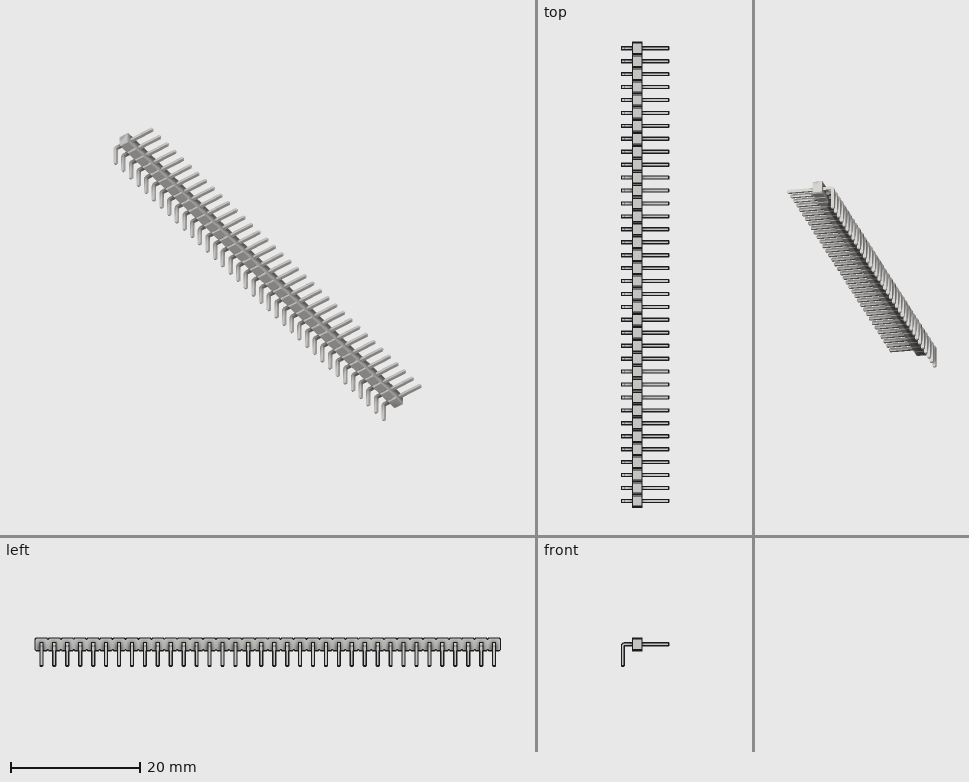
import cadquery as cq

strip_length = 72.0
pin_count = 36
pitch = strip_length / pin_count

strip_width = 1.5
strip_height = pitch
notch_depth = 0.2

pin_size = 0.5
pin_overall_x = 7.4
overall_height = 4.4
bend_reach = 1.7
bend_outer_radius = pin_size
tip_length = pin_size / 4
tip_inset = pin_size / 4

pin_left = -strip_width / 2 - bend_reach
pin_right = pin_left + pin_overall_x
pin_top = pin_size / 2
pin_bottom = strip_height / 2 - overall_height
first_pin_y = (pitch - strip_length) / 2


def make_strip():
    """Bar with V-notches across its top and bottom between pins, and half notches at its ends."""
    half_length = strip_length / 2
    top = strip_height / 2
    floor = top - notch_depth
    upper_edge = [(-half_length, floor), (-half_length + notch_depth, top)]
    for i in range(1, pin_count):
        y = i * pitch - half_length
        upper_edge += [(y - notch_depth, top), (y, floor), (y + notch_depth, top)]
    upper_edge += [(half_length - notch_depth, top), (half_length, floor)]
    lower_edge = [(y, -z) for y, z in reversed(upper_edge)]
    outline = cq.Workplane("YZ").polyline(upper_edge + lower_edge).close()
    return outline.extrude(strip_width / 2, both=True)


def make_tip(workplane):
    """Tapered pin end, from the full pin section down to a smaller square."""
    tip_size = pin_size - 2 * tip_inset
    return (
        workplane.rect(pin_size, pin_size)
        .workplane(offset=tip_length)
        .rect(tip_size, tip_size)
        .loft(combine=False)
    )


def make_pin():
    """L-shaped square pin: mating leg along +X, solder leg down along -Z."""
    mating_end = pin_right - tip_length
    solder_end = pin_bottom + tip_length
    pin = (
        cq.Workplane("XZ")
        .moveTo(pin_left, solder_end)
        .lineTo(pin_left, pin_top)
        .lineTo(mating_end, pin_top)
        .lineTo(mating_end, pin_top - pin_size)
        .lineTo(pin_left + pin_size, pin_top - pin_size)
        .lineTo(pin_left + pin_size, solder_end)
        .close()
        .extrude(pin_size / 2, both=True)
    )
    pin = pin.edges("|Y").edges("<X and >Z").fillet(bend_outer_radius)
    solder_x = pin_left + pin_size / 2
    mating_tip = make_tip(cq.Workplane("YZ", origin=(mating_end, 0, 0)))
    solder_tip = make_tip(cq.Workplane("YX", origin=(solder_x, 0, solder_end)))
    return pin.union(mating_tip).union(solder_tip)


pin = make_pin().val()
pins = [pin.translate(cq.Vector(0, first_pin_y + i * pitch, 0)) for i in range(pin_count)]
result = cq.Workplane(make_strip().val().fuse(*pins))